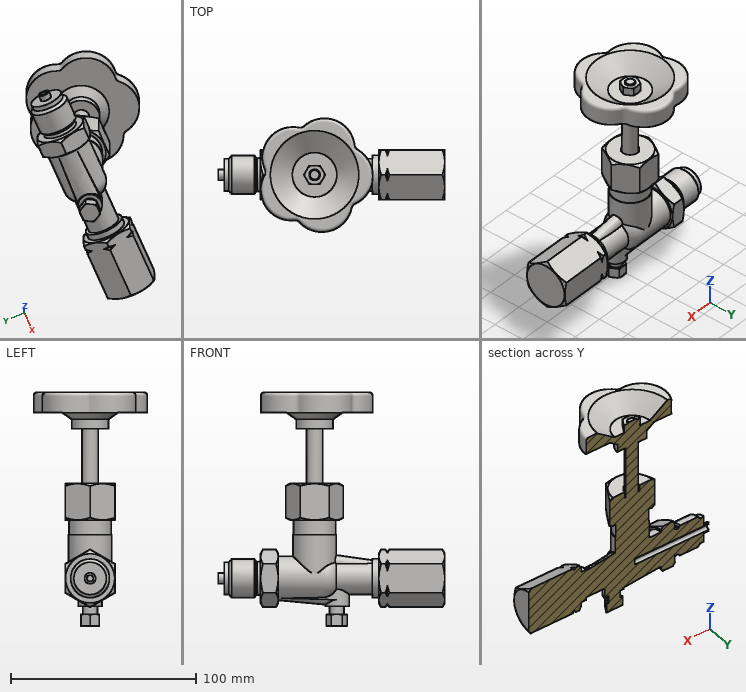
import cadquery as cq
import math


TIP_X = -52.1
SHOULDER_X = -48.85
THREAD_CHAMFER_X = -46.25
THREAD_START_X = -44.7
THREAD_END_X = -32.5
RELIEF_STEP_X = -31.75
RELIEF_START_X = -31.05
RELIEF_END_X = -30.25
BODY_NUT_X = -29.2
BODY_START_X = -19.5
BODY_END_X = 4.75
COLLAR_X = 31.15
COUPLING_X = 34.55
COUPLING_END_X = 70.35

TIP_D = 6.0
TIP_BORE_D = 3.5
SPINDLE_D = 4.0
PIPE_D = 17.5
THREAD_D = 20.95
RELIEF_STEP_D = 18.63
RELIEF_D = 18.0
BODY_D = 24.0
BODY_ROUND_R = 9.0
COLLAR_D = 21.2

HEX_FLATS = 27.0
HEX_FACE_D = 26.5
NOTCH_X = 39.3
NOTCH_ROOT_R = 14.1
NOTCH_OUTER_R = 16.0
NOTCH_HALF_ANGLE = 37.0

BONNET_D = 23.5
BONNET_TOP_Z = 23.4
NECK_D = 22.91
BONNET_NUT_Z = 31.4
BONNET_NUT_TOP_Z = 51.2
STEM_HOLE_D = 10.0
STEM_HOLE_DEPTH = 4.0
STEM_D = 9.0
STEM_END_D = 6.0
STEM_END_CHAMFER = 0.5

HUB_Z = 80.7
HUB_TOP_Z = 85.8
WHEEL_Z = 89.4
WHEEL_TOP_Z = 100.43
HUB_D = 20.0
WHEEL_CONE_D = 30.2
LOBES = 5
LOBE_RADIUS = 16.49
LOBE_OFFSET = 15.0
LOBE_TURN = -2.7
VALLEY_RADIUS = 3.3
WHEEL_EDGE_R = 2.0
DISH_D = 47.7
DISH_FLOOR_D = 24.0
DISH_DEPTH = 8.4
DISH_RIM_CHAMFER = 0.25
WHEEL_NUT_HEIGHT = 5.0
STEM_END_HEIGHT = 5.7

OVERALL_HEIGHT = 126.24

SCREW_X = 11.95
BOSS_X = 12.3
BOSS_D = 13.0
BOSS_Z = -15.1
SCREW_D = 8.0
SCREW_HEAD_Z = -19.5
SCREW_HEAD_END_Z = WHEEL_TOP_Z - OVERALL_HEIGHT
SMALL_HEX_FLATS = 10.0
SMALL_HEX_FACE_D = 10.6

UPPER_RIB_D = 8.0
UPPER_RIB_START_X = 2.0
UPPER_RIB_CREST_Z = 13.95
UPPER_RIB_END_CREST_Z = 9.85

LOWER_RIB_ROOT_Z = -4.0
LOWER_RIB_START = (5.3, -10.68, -11.9)
LOWER_RIB_END = (BOSS_D / 2, -11.55, -14.85)

CHAMFER_SLOPE = math.tan(math.radians(30))


def revolve_x(points):
    """Turn an (x, radius) outline around the pipe axis."""
    return cq.Workplane("XY").polyline(points).close().revolve(360, (0, 0), (1, 0))


def cylinder_z(diameter, z_low, z_high, x=0.0):
    base = cq.Workplane("XY", origin=(x, 0, z_low))
    return base.circle(diameter / 2).extrude(z_high - z_low)


def hexagon_nut(flats, face_d, length):
    """Hexagon along +Z with corners on X and both ends turned to 30 degrees."""
    corners_d = flats / math.cos(math.pi / 6)
    inset = (corners_d - face_d) / 2 * CHAMFER_SLOPE
    outline = [
        (0, 0),
        (face_d / 2, 0),
        (corners_d / 2, inset),
        (corners_d / 2, length - inset),
        (face_d / 2, length),
        (0, length),
    ]
    turned = cq.Workplane("XZ").polyline(outline).close().revolve(360, (0, 0), (0, 1))
    return cq.Workplane("XY").polygon(6, corners_d).extrude(length).intersect(turned)


def pipe_nut(x_low, x_high):
    """Large hexagon on the pipe axis with corners pointing up and down."""
    nut = hexagon_nut(HEX_FLATS, HEX_FACE_D, x_high - x_low)
    return nut.rotate((0, 0, 0), (0, 1, 0), 90).translate((x_low, 0, 0))


def threaded_end():
    return revolve_x([
        (TIP_X, 0),
        (TIP_X, TIP_D / 2),
        (SHOULDER_X, TIP_D / 2),
        (SHOULDER_X, PIPE_D / 2),
        (THREAD_CHAMFER_X, PIPE_D / 2),
        (THREAD_START_X, THREAD_D / 2),
        (THREAD_END_X, THREAD_D / 2),
        (RELIEF_STEP_X, RELIEF_STEP_D / 2),
        (RELIEF_START_X, RELIEF_D / 2),
        (RELIEF_END_X, RELIEF_D / 2),
        (BODY_NUT_X, RELIEF_STEP_D / 2),
        (BODY_START_X, RELIEF_STEP_D / 2),
        (BODY_START_X, 0),
    ])


def tip_bore():
    """Bore from the tip that stops against the round spindle on the stem axis."""
    bore = cq.Workplane("YZ", origin=(TIP_X, 0, 0)).circle(TIP_BORE_D / 2).extrude(-TIP_X)
    return bore.cut(cylinder_z(SPINDLE_D, -TIP_BORE_D, TIP_BORE_D))


def body():
    """Round body whose right end curves in to the pipe diameter."""
    centre_r = BODY_D / 2 - BODY_ROUND_R
    end_angle = math.asin((PIPE_D / 2 - centre_r) / BODY_ROUND_R)
    mid_angle = (end_angle + math.pi / 2) / 2

    def on_round(angle):
        return (
            BODY_END_X + BODY_ROUND_R * math.cos(angle),
            centre_r + BODY_ROUND_R * math.sin(angle),
        )

    end = on_round(end_angle)
    outline = (
        cq.Workplane("XY")
        .moveTo(BODY_START_X, 0)
        .lineTo(BODY_START_X, BODY_D / 2)
        .lineTo(BODY_END_X, BODY_D / 2)
        .threePointArc(on_round(mid_angle), end)
        .lineTo(COLLAR_X, PIPE_D / 2)
        .lineTo(COLLAR_X, COLLAR_D / 2)
        .lineTo(COUPLING_X, COLLAR_D / 2)
        .lineTo(COUPLING_X, 0)
        .close()
    )
    return outline.revolve(360, (0, 0), (1, 0))


def coupling():
    """Long hexagon with a V groove across its corners."""
    half_width = (NOTCH_OUTER_R - NOTCH_ROOT_R) * math.tan(math.radians(NOTCH_HALF_ANGLE))
    groove = revolve_x([
        (NOTCH_X, NOTCH_ROOT_R),
        (NOTCH_X - half_width, NOTCH_OUTER_R),
        (NOTCH_X + half_width, NOTCH_OUTER_R),
    ])
    return pipe_nut(COUPLING_X, COUPLING_END_X).cut(groove)


def bonnet():
    nut = hexagon_nut(HEX_FLATS, HEX_FACE_D, BONNET_NUT_TOP_Z - BONNET_NUT_Z)
    stem_hole = cylinder_z(STEM_HOLE_D, BONNET_NUT_TOP_Z - STEM_HOLE_DEPTH, BONNET_NUT_TOP_Z)
    return (
        cylinder_z(BONNET_D, 0, BONNET_TOP_Z)
        .union(cylinder_z(NECK_D, BONNET_TOP_Z, BONNET_NUT_Z))
        .union(nut.translate((0, 0, BONNET_NUT_Z)))
        .cut(stem_hole)
    )


def upper_rib():
    run = COLLAR_X - UPPER_RIB_START_X
    drop = UPPER_RIB_CREST_Z - UPPER_RIB_END_CREST_Z
    axis_z = UPPER_RIB_CREST_Z - UPPER_RIB_D / 2
    section = cq.Plane(origin=(UPPER_RIB_START_X, 0, axis_z), xDir=(0, -1, 0), normal=(run, 0, -drop))
    return cq.Workplane(section).circle(UPPER_RIB_D / 2).extrude(math.hypot(run, drop))


def lower_rib():
    """Widening rib with a crowned underside, from the body nut to the boss."""

    def section(x, half_width, edge_z, crown_z):
        return (
            cq.Workplane("YZ", origin=(x, 0, 0))
            .moveTo(-half_width, LOWER_RIB_ROOT_Z)
            .lineTo(-half_width, edge_z)
            .threePointArc((0, crown_z), (half_width, edge_z))
            .lineTo(half_width, LOWER_RIB_ROOT_Z)
            .close()
            .wire()
            .val()
        )

    ends = [section(BODY_START_X, *LOWER_RIB_START), section(BOSS_X, *LOWER_RIB_END)]
    return cq.Workplane(cq.Solid.makeLoft(ends, True))


def bleed_screw():
    head = hexagon_nut(SMALL_HEX_FLATS, SMALL_HEX_FACE_D, SCREW_HEAD_Z - SCREW_HEAD_END_Z)
    return (
        cylinder_z(BOSS_D, BOSS_Z, 0, BOSS_X)
        .union(cylinder_z(SCREW_D, SCREW_HEAD_Z, BOSS_Z, SCREW_X))
        .union(head.translate((SCREW_X, 0, SCREW_HEAD_END_Z)))
    )


def lobed_rim():
    """Ring of round lobes blended by small concave arcs in the valleys."""
    half_step = math.pi / LOBES
    lobe_u = LOBE_OFFSET * math.cos(half_step)
    lobe_v = LOBE_OFFSET * math.sin(half_step)
    reach = LOBE_RADIUS + VALLEY_RADIUS
    valley_centre = lobe_u + math.sqrt(reach ** 2 - lobe_v ** 2)
    share = LOBE_RADIUS / reach
    tangent_u = lobe_u + (valley_centre - lobe_u) * share
    tangent_v = lobe_v * (1 - share)
    tangent_r = math.hypot(tangent_u, tangent_v)
    tangent_angle = math.atan2(tangent_v, tangent_u)

    def polar(radius, angle):
        return (radius * math.cos(angle), radius * math.sin(angle))

    first_valley = math.radians(LOBE_TURN) - half_step
    start = polar(tangent_r, first_valley + tangent_angle)
    outline = cq.Workplane("XY", origin=(0, 0, WHEEL_Z)).moveTo(*start)
    for lobe in range(LOBES):
        valley = first_valley + 2 * half_step * (lobe + 1)
        crest = polar(LOBE_OFFSET + LOBE_RADIUS, valley - half_step)
        outline = outline.threePointArc(crest, polar(tangent_r, valley - tangent_angle))
        valley_floor = polar(valley_centre - VALLEY_RADIUS, valley)
        outline = outline.threePointArc(valley_floor, polar(tangent_r, valley + tangent_angle))
    rim = outline.close().extrude(WHEEL_TOP_Z - WHEEL_Z)
    return rim.faces(">Z").edges().fillet(WHEEL_EDGE_R)


def handwheel():
    floor_z = WHEEL_TOP_Z - DISH_DEPTH
    hub_outline = [
        (0, HUB_Z),
        (HUB_D / 2, HUB_Z),
        (HUB_D / 2, HUB_TOP_Z),
        (WHEEL_CONE_D / 2, WHEEL_Z),
        (0, WHEEL_Z),
    ]
    dish_outline = [
        (0, floor_z),
        (DISH_FLOOR_D / 2, floor_z),
        (DISH_D / 2 - DISH_RIM_CHAMFER, WHEEL_TOP_Z - DISH_RIM_CHAMFER),
        (DISH_D / 2, WHEEL_TOP_Z),
        (0, WHEEL_TOP_Z),
    ]
    hub = cq.Workplane("XZ").polyline(hub_outline).close().revolve(360, (0, 0), (0, 1))
    dish = cq.Workplane("XZ").polyline(dish_outline).close().revolve(360, (0, 0), (0, 1))
    nut = hexagon_nut(SMALL_HEX_FLATS, SMALL_HEX_FACE_D, WHEEL_NUT_HEIGHT)
    stem_end = cylinder_z(STEM_END_D, floor_z, floor_z + STEM_END_HEIGHT)
    stem_end = stem_end.faces(">Z").chamfer(STEM_END_CHAMFER)
    return (
        lobed_rim()
        .union(hub)
        .cut(dish)
        .union(nut.translate((0, 0, floor_z)))
        .union(stem_end)
    )


result = (
    body()
    .union(threaded_end())
    .union(pipe_nut(BODY_NUT_X, BODY_START_X))
    .union(coupling())
    .union(upper_rib())
    .union(lower_rib())
    .union(bleed_screw())
    .union(bonnet())
    .union(cylinder_z(STEM_D, 0, HUB_Z))
    .union(handwheel())
    .cut(tip_bore())
)